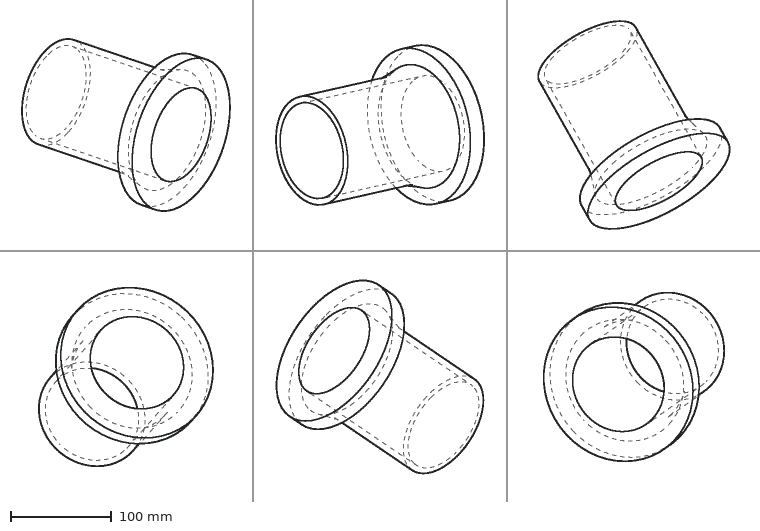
import cadquery as cq

total_length = 158.0
flange_diameter = 158.0
flange_thickness = 18.0
neck_length = 27.0
neck_end_diameter = 124.8
pipe_diameter = 110.0
bore_diameter = 96.9

pipe_radius = pipe_diameter / 2
neck_end_radius = neck_end_diameter / 2
flange_radius = flange_diameter / 2
bore_radius = bore_diameter / 2

flange_start = total_length - flange_thickness
neck_start = flange_start - neck_length

half_section = (
    cq.Workplane("XY")
    .moveTo(0, bore_radius)
    .lineTo(0, pipe_radius)
    .lineTo(neck_start, pipe_radius)
    .lineTo(flange_start, neck_end_radius)
    .lineTo(flange_start, flange_radius)
    .lineTo(total_length, flange_radius)
    .lineTo(total_length, bore_radius)
    .close()
)

result = half_section.revolve(360, (0, 0, 0), (1, 0, 0))